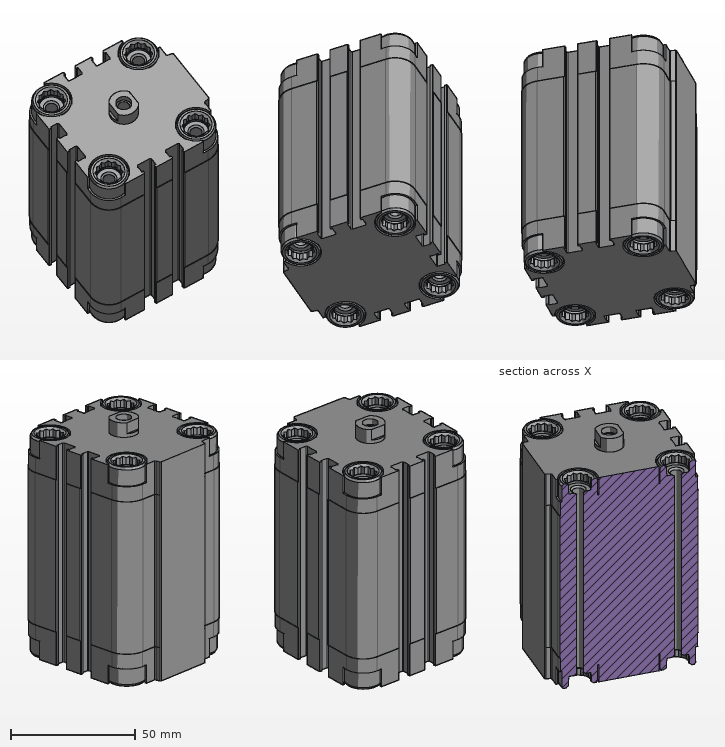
import cadquery as cq
import math

WIDTH = 60.0
HALF = WIDTH / 2
HEIGHT = 95.7
CORNER_RADIUS = 9.0
CAP_HEIGHT = 14.6
CAP_INSET = 0.2

PAD_HEIGHT = 2.5
PAD_BASE_HALF = 13.7
PAD_TOP_HALF = 13.4
PAD_BEVEL = 0.4

SLOT_OFFSET = 6.7
SLOT_MOUTH = 5.3
SLOT_CHAMBER = 6.7
SLOT_DEPTH = 5.1
SLOT_LIP = 1.4
SLOT_BEVEL = 0.4

SLEEVE_OFFSET = 21.0
SLEEVE_DIAMETER = 16.0
SLEEVE_HEIGHT = 8.1
SLEEVE_BEVEL_HEIGHT = 1.0
SLEEVE_BEVEL_WIDTH = 0.6
POCKET_DIAMETER = 16.5
POCKET_SIDE = 2.2

SOCKET_POINTS = 12
SOCKET_TIP_DIAMETER = 11.2
SOCKET_ROOT_DIAMETER = 10.1
SOCKET_POINT_DEPTH = 4.1
SOCKET_DEPTH = 5.1
SOCKET_LEAD_DIAMETER = 12.9
SOCKET_LEAD_DEPTH = 1.0
BOLT_HOLE_DIAMETER = 4.9
BOLT_SINK_DIAMETER = 6.4

ROD_DIAMETER = 12.0
ROD_PROJECTION = 6.3
ROD_SEAT_DEPTH = CAP_HEIGHT
ROD_FLATS_WIDTH = 9.9
ROD_FLATS_HEIGHT = 4.8
ROD_BORE_DIAMETER = 6.4
ROD_BORE_DEPTH = 2.5
ROD_DRILL_DIAMETER = 4.9
ROD_DRILL_DEPTH = 12.2
DRILL_HALF_ANGLE = 59.0


def cylinder(diameter, bottom, top):
    return cq.Workplane("XY").workplane(offset=bottom).circle(diameter / 2).extrude(top - bottom)


def cone(bottom_diameter, top_diameter, bottom, top):
    return cq.Workplane(
        cq.Solid.makeCone(bottom_diameter / 2, top_diameter / 2, top - bottom, cq.Vector(0, 0, bottom))
    )


def rounded_block(half, corner_radius, bottom, top):
    block = cq.Workplane("XY").box(2 * half, 2 * half, top - bottom, centered=(True, True, False))
    return block.edges("|Z").fillet(corner_radius).translate((0, 0, bottom))


def rear_pad(root_y, bottom, top):
    """Flared and bevelled pad rising from a +Y face at root_y."""
    top_y = HALF + PAD_HEIGHT
    right_side = [
        (PAD_BASE_HALF + PAD_BEVEL, root_y - CORNER_RADIUS),
        (PAD_BASE_HALF + PAD_BEVEL, root_y),
        (PAD_BASE_HALF, root_y + PAD_BEVEL),
        (PAD_TOP_HALF, top_y - PAD_BEVEL),
        (PAD_TOP_HALF - PAD_BEVEL, top_y),
    ]
    left_side = [(-x, y) for x, y in reversed(right_side)]
    outline = right_side + left_side
    return cq.Workplane("XY").workplane(offset=bottom).polyline(outline).close().extrude(top - bottom)


def side_slot(offset):
    """T-slot in the -Y side, running the full height."""
    mouth = SLOT_MOUTH / 2
    chamber = SLOT_CHAMBER / 2
    lip_y = -HALF + SLOT_LIP
    floor_y = -HALF + SLOT_DEPTH
    outline = [
        (-mouth - SLOT_BEVEL, -HALF),
        (-mouth, -HALF + SLOT_BEVEL),
        (-mouth, lip_y),
        (-chamber, lip_y),
        (-chamber, floor_y - SLOT_BEVEL),
        (-chamber + SLOT_BEVEL, floor_y),
        (chamber - SLOT_BEVEL, floor_y),
        (chamber, floor_y - SLOT_BEVEL),
        (chamber, lip_y),
        (mouth, lip_y),
        (mouth, -HALF + SLOT_BEVEL),
        (mouth + SLOT_BEVEL, -HALF),
    ]
    return cq.Workplane("XY").polyline(outline).close().extrude(HEIGHT).translate((offset, 0, 0))


def corner_pocket():
    """Open pocket below a top end face at z = 0, for the +X +Y corner, with its axis on Z."""
    side = POCKET_SIDE + CORNER_RADIUS
    opening = cq.Workplane("XY").rect(side, side, centered=False).extrude(-SLEEVE_HEIGHT)
    opening = opening.translate((-POCKET_SIDE, -POCKET_SIDE, 0))
    return opening.union(cylinder(POCKET_DIAMETER, -SLEEVE_HEIGHT, 0))


def sleeve():
    """Bevelled sleeve standing in a pocket, its top at z = 0."""
    straight = cylinder(SLEEVE_DIAMETER, -SLEEVE_HEIGHT, -SLEEVE_BEVEL_HEIGHT)
    top_diameter = SLEEVE_DIAMETER - 2 * SLEEVE_BEVEL_WIDTH
    return straight.union(cone(SLEEVE_DIAMETER, top_diameter, -SLEEVE_BEVEL_HEIGHT, 0))


def socket():
    """Twelve-point socket with a conical lead-in and a countersunk floor, open at z = 0."""
    step = math.pi / SOCKET_POINTS
    star = []
    for i in range(2 * SOCKET_POINTS):
        radius = (SOCKET_ROOT_DIAMETER if i % 2 else SOCKET_TIP_DIAMETER) / 2
        star.append((radius * math.cos(i * step), radius * math.sin(i * step)))
    points = cq.Workplane("XY").polyline(star).close().extrude(-SOCKET_POINT_DEPTH)
    lead = cone(SOCKET_ROOT_DIAMETER, SOCKET_LEAD_DIAMETER, -SOCKET_LEAD_DEPTH, 0)
    sink_depth = (BOLT_SINK_DIAMETER - BOLT_HOLE_DIAMETER) / 2
    sink_bottom = -SOCKET_DEPTH - sink_depth
    sink = cone(BOLT_HOLE_DIAMETER, BOLT_SINK_DIAMETER, sink_bottom, -SOCKET_DEPTH)
    return cylinder(SOCKET_ROOT_DIAMETER, -SOCKET_DEPTH, 0).union(points).union(lead).union(sink)


def at_each_corner(shape):
    """Copies of a +X +Y top-corner shape at all four corners of both ends."""
    placed = shape.translate((SLEEVE_OFFSET, SLEEVE_OFFSET, HEIGHT))
    upper = [placed.rotate((0, 0, 0), (0, 0, 1), 90 * turn) for turn in range(4)]
    lower = [copy.mirror("XY", (0, 0, HEIGHT / 2)) for copy in upper]
    return upper + lower


def make_housing():
    cap_half = HALF - CAP_INSET
    tube_bottom = CAP_HEIGHT
    tube_top = HEIGHT - CAP_HEIGHT
    body = rounded_block(cap_half, CORNER_RADIUS - CAP_INSET, 0, HEIGHT)
    body = body.union(rear_pad(cap_half, 0, HEIGHT))
    body = body.union(rounded_block(HALF, CORNER_RADIUS, tube_bottom, tube_top))
    body = body.union(rear_pad(HALF, tube_bottom, tube_top))

    for turn in (-90, 0, 90):
        for offset in (-SLOT_OFFSET, SLOT_OFFSET):
            body = body.cut(side_slot(offset).rotate((0, 0, 0), (0, 0, 1), turn))

    for pocket in at_each_corner(corner_pocket()):
        body = body.cut(pocket)
    for stud in at_each_corner(sleeve()):
        body = body.union(stud)
    for recess in at_each_corner(socket()):
        body = body.cut(recess)

    for x in (-SLEEVE_OFFSET, SLEEVE_OFFSET):
        for y in (-SLEEVE_OFFSET, SLEEVE_OFFSET):
            body = body.cut(cylinder(BOLT_HOLE_DIAMETER, 0, HEIGHT).translate((x, y, 0)))

    return body.cut(cylinder(ROD_DIAMETER, HEIGHT - ROD_SEAT_DEPTH, HEIGHT))


def make_rod():
    top = HEIGHT + ROD_PROJECTION
    rod = cylinder(ROD_DIAMETER, HEIGHT - ROD_SEAT_DEPTH, top)

    flats_bottom = top - ROD_FLATS_HEIGHT
    between_flats = (
        cq.Workplane("XY")
        .box(ROD_DIAMETER, ROD_FLATS_WIDTH, ROD_FLATS_HEIGHT, centered=(True, True, False))
        .translate((0, 0, flats_bottom))
    )
    rod = rod.cut(cylinder(ROD_DIAMETER, flats_bottom, top).cut(between_flats))

    drill_bottom = top - ROD_DRILL_DEPTH
    tip_height = ROD_DRILL_DIAMETER / 2 / math.tan(math.radians(DRILL_HALF_ANGLE))
    rod = rod.cut(cylinder(ROD_BORE_DIAMETER, top - ROD_BORE_DEPTH, top))
    rod = rod.cut(cylinder(ROD_DRILL_DIAMETER, drill_bottom, top))
    return rod.cut(cone(0, ROD_DRILL_DIAMETER, drill_bottom - tip_height, drill_bottom))


housing = make_housing()
rod = make_rod()

result = cq.Compound.makeCompound([housing.val(), rod.val()])